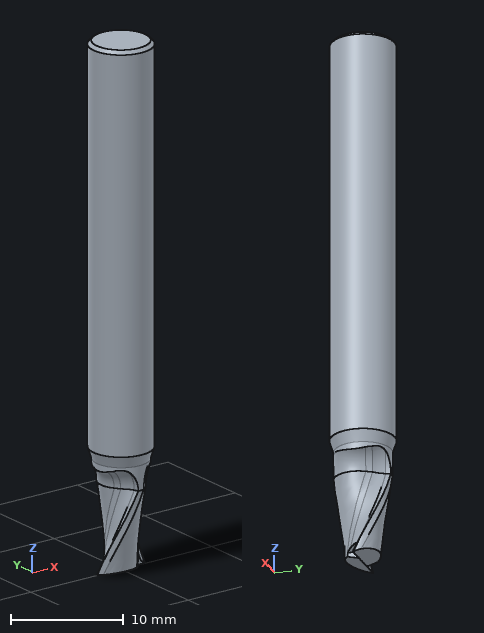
import cadquery as cq
import math

total_length = 50.0
shank_diameter = 6.0
cutter_diameter = 5.3
cutting_length = 8.15
neck_top = 10.55
cone_top = 11.65
shank_chamfer = 0.35

helix_lead = 33.0
margin_angle = 14.0
back_x, back_y = -1.3, -1.65
heel_x, heel_y = 0.75, -1.3
floor_x, floor_y = 1.25, -0.95
hollow_x, hollow_y = 1.7, -0.5
rake_x, rake_y = 2.2, -0.15

end_relief_angle = 15.0
gash_height = 1.15
gash_inner_x = 1.05
gash_inner_height = 0.65
gash_slope_x = 1.75
runout_axis_offset = 3.8
runout_axis_slope = 0.37
clearance = 4.0

cutter_radius = cutter_diameter / 2
shank_radius = shank_diameter / 2
twist_angle = 360 * cutting_length / helix_lead


def on_margin(angle):
    """Point on the cutter circle, measured from the -X cutting edge."""
    turn = math.radians(180 + angle)
    return (cutter_radius * math.cos(turn), cutter_radius * math.sin(turn))


def opposite(point):
    return (-point[0], -point[1])


edge = (-cutter_radius, 0)
margin_middle = on_margin(margin_angle / 2)
margin_end = on_margin(margin_angle)
back = (back_x, back_y)
heel = (heel_x, heel_y)
floor = (floor_x, floor_y)
hollow = (hollow_x, hollow_y)
rake = (rake_x, rake_y)


def tooth_section():
    """S-shaped section, the second tooth being the first turned half a turn."""
    return (
        cq.Workplane("XY")
        .moveTo(*edge)
        .threePointArc(margin_middle, margin_end)
        .threePointArc(back, heel)
        .lineTo(*floor)
        .threePointArc(hollow, rake)
        .lineTo(*opposite(edge))
        .threePointArc(opposite(margin_middle), opposite(margin_end))
        .threePointArc(opposite(back), opposite(heel))
        .lineTo(*opposite(floor))
        .threePointArc(opposite(hollow), opposite(rake))
        .close()
    )


def end_relief(side):
    """Wedge that slopes the end face up from the cutting edges, side is +1 or -1."""
    rise = clearance * math.tan(math.radians(end_relief_angle))
    return (
        cq.Workplane("YZ")
        .polyline([(0, 0), (side * clearance, 0), (side * clearance, rise)])
        .close()
        .extrude(clearance, both=True)
    )


def end_gash(turn):
    """Notch that leaves a flat rake face beside one end cutting edge."""
    gash = (
        cq.Workplane("XZ")
        .polyline([
            (-clearance, 0),
            (-gash_inner_x, 0),
            (-gash_inner_x, gash_inner_height),
            (-gash_slope_x, gash_height),
            (-clearance, gash_height),
        ])
        .close()
        .extrude(-clearance)
    )
    return gash.rotate((0, 0, 0), (0, 0, 1), turn)


def make_cutting_head():
    head = tooth_section().twistExtrude(cutting_length, twist_angle)
    for side in (1, -1):
        head = head.cut(end_relief(side))
    for turn in (0, 180):
        head = head.cut(end_gash(turn))
    return head


def flute_runout(turn):
    """Flute profile turned outwards, so that the flute leaves the neck in a curve."""
    lean = clearance * runout_axis_slope
    axis_start = (-clearance, -runout_axis_offset - lean)
    axis_end = (clearance, -runout_axis_offset + lean)
    return (
        cq.Workplane("XY")
        .moveTo(*margin_end)
        .threePointArc(back, heel)
        .lineTo(*floor)
        .threePointArc(hollow, rake)
        .lineTo(*opposite(edge))
        .lineTo(clearance, 0)
        .lineTo(*axis_end)
        .lineTo(*axis_start)
        .lineTo(-clearance, margin_end[1])
        .close()
        .revolve(90, axis_start, axis_end)
        .rotate((0, 0, 0), (0, 0, 1), twist_angle + turn)
        .translate((0, 0, cutting_length))
    )


def make_shank():
    shank = (
        cq.Workplane("XZ")
        .polyline([
            (0, cutting_length),
            (cutter_radius, cutting_length),
            (cutter_radius, neck_top),
            (shank_radius, cone_top),
            (shank_radius, total_length - shank_chamfer),
            (shank_radius - shank_chamfer, total_length),
            (0, total_length),
        ])
        .close()
        .revolve(360, (0, 0, 0), (0, 1, 0))
    )
    for turn in (0, 180):
        shank = shank.cut(flute_runout(turn))
    return shank


cutting_head = make_cutting_head()
shank = make_shank()

result = cq.Compound.makeCompound([cutting_head.solids().val(), shank.solids().val()])